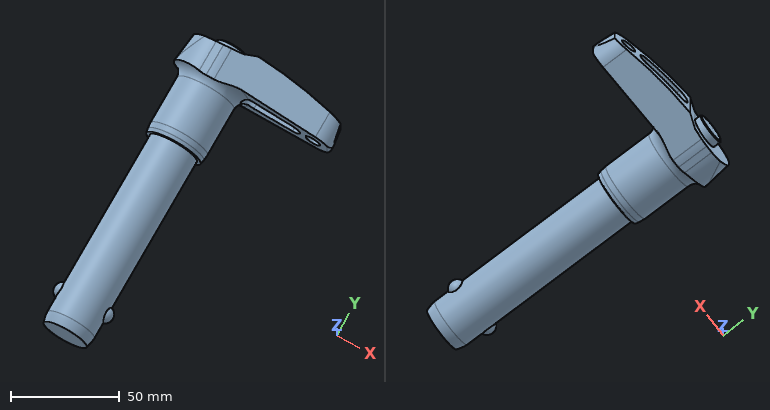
import cadquery as cq
import math


total_length = 156.8
pin_radius = 12.5
tip_radius = 11.5
tip_length = 5.3
collar_radius = 15.2
collar_end_radius = 14.5
collar_start = 101.9
collar_nose_length = 5.0
collar_lip_radius = 14.9
collar_lip_length = 2.0
tip_bulge = 0.24
flare_radius = 6.1

ball_radius = 4.4
ball_reach = 15.5
ball_y = 17.5

button_radius = 7.7
button_chamfer = 0.5

hub_radius = 16.6
heel_radius = 16.2
heel_x = -3.9
toe_radius = 9.5
toe_x = 54.3
slot_inner_radius = 5.5
slot_inner_x = 22.0
slot_outer_radius = 4.4
slot_outer_x = 43.0
hole_radius = 3.9

handle_bottom = 138.1
toe_bottom = 136.1
heel_top = 153.2
dish_depth = 0.8
dish_end_x = 7.8
crown_x = 14.7
crown_y = 155.9
crown_middle = (35.5, 154.0)
toe_top = (62.1, 148.6)
underside_bend_x = 15.7
toe_rounding = 2.0
heel_cone_top_radius = 18.3

heel_reach = heel_radius - heel_x
toe_reach = toe_x + toe_radius


def disc(x, radius, y_min, y_max):
    """Cylinder parallel to Y, centred on the handle's midplane."""
    return cq.Workplane("XZ", origin=(x, y_min, 0)).circle(radius).extrude(y_min - y_max)


def tapered_bar(x1, r1, x2, r2, y_min, y_max):
    """Two round ends joined by their common tangent lines (x1 < x2)."""
    lean = (r1 - r2) / (x2 - x1)
    rise = math.sqrt(1 - lean**2)
    start = (x1 + r1 * lean, r1 * rise)
    end = (x2 + r2 * lean, r2 * rise)
    return (
        cq.Workplane("XZ", origin=(0, y_min, 0))
        .moveTo(*start)
        .lineTo(*end)
        .threePointArc((x2 + r2, 0), (end[0], -end[1]))
        .lineTo(start[0], -start[1])
        .threePointArc((x1 - r1, 0), start)
        .close()
        .extrude(y_min - y_max)
    )


def handle_outline():
    heel = tapered_bar(heel_x, heel_radius, 0, hub_radius, 0, total_length)
    arm = tapered_bar(0, hub_radius, toe_x, toe_radius, 0, total_length)
    return heel.union(arm)


def handle_profile():
    dish_middle = ((dish_end_x - heel_reach) / 2, heel_top - dish_depth)
    toe_sag = toe_rounding * (1 - math.sqrt(0.5))
    return (
        cq.Workplane("XY")
        .moveTo(-heel_reach, handle_bottom)
        .lineTo(-heel_reach, heel_top)
        .threePointArc(dish_middle, (dish_end_x, heel_top))
        .lineTo(crown_x, crown_y)
        .threePointArc(crown_middle, toe_top)
        .lineTo(toe_reach, toe_bottom + toe_rounding)
        .threePointArc(
            (toe_reach - toe_sag, toe_bottom + toe_sag), (toe_reach - toe_rounding, toe_bottom)
        )
        .lineTo(underside_bend_x, handle_bottom)
        .close()
        .extrude(hub_radius, both=True)
    )


def heel_cone():
    """Cone about the pin axis that tapers the heel, plus a block that keeps the arm whole."""
    cone = (
        cq.Workplane("XY")
        .moveTo(0, handle_bottom)
        .lineTo(heel_reach, handle_bottom)
        .lineTo(heel_cone_top_radius, heel_top)
        .lineTo(0, heel_top)
        .close()
        .revolve(360, (0, 0, 0), (0, 1, 0))
    )
    arm_space = cq.Workplane("XY").box(
        toe_reach, total_length, 2 * hub_radius, centered=(False, False, True)
    )
    return cone.union(arm_space)


def collar_flare():
    """Concave flare from the collar up to the underside of the handle."""
    flare_start = handle_bottom - flare_radius
    outer = collar_radius + flare_radius
    middle = flare_radius * math.sqrt(0.5)
    flare = (
        cq.Workplane("XY")
        .moveTo(0, flare_start)
        .lineTo(collar_radius, flare_start)
        .threePointArc((outer - middle, flare_start + middle), (outer, handle_bottom))
        .lineTo(0, handle_bottom)
        .close()
        .revolve(360, (0, 0, 0), (0, 1, 0))
    )
    return flare.intersect(handle_outline())


def handle():
    body = handle_profile().intersect(handle_outline()).intersect(heel_cone())
    body = body.union(collar_flare())
    slot = tapered_bar(
        slot_inner_x, slot_inner_radius, slot_outer_x, slot_outer_radius, 0, total_length
    )
    return body.cut(slot).cut(disc(toe_x, hole_radius, 0, total_length))


def pin_and_collar():
    nose_end = collar_start + collar_nose_length
    tip_middle = ((tip_radius + pin_radius) / 2 + tip_bulge, tip_length / 2)
    return (
        cq.Workplane("XY")
        .lineTo(tip_radius, 0)
        .threePointArc(tip_middle, (pin_radius, tip_length))
        .lineTo(pin_radius, collar_start)
        .lineTo(collar_end_radius, collar_start)
        .lineTo(collar_lip_radius, collar_start + collar_lip_length)
        .lineTo(collar_radius, nose_end)
        .lineTo(collar_radius, handle_bottom)
        .lineTo(0, handle_bottom)
        .close()
        .revolve(360, (0, 0, 0), (0, 1, 0))
    )


def push_button():
    button = disc(0, button_radius, handle_bottom, total_length)
    return button.faces(">Y").chamfer(button_chamfer)


result = pin_and_collar().union(handle()).union(push_button())
for side in (-1, 1):
    ball_x = side * (ball_reach - ball_radius)
    result = result.union(cq.Workplane("XY", origin=(ball_x, ball_y, 0)).sphere(ball_radius))